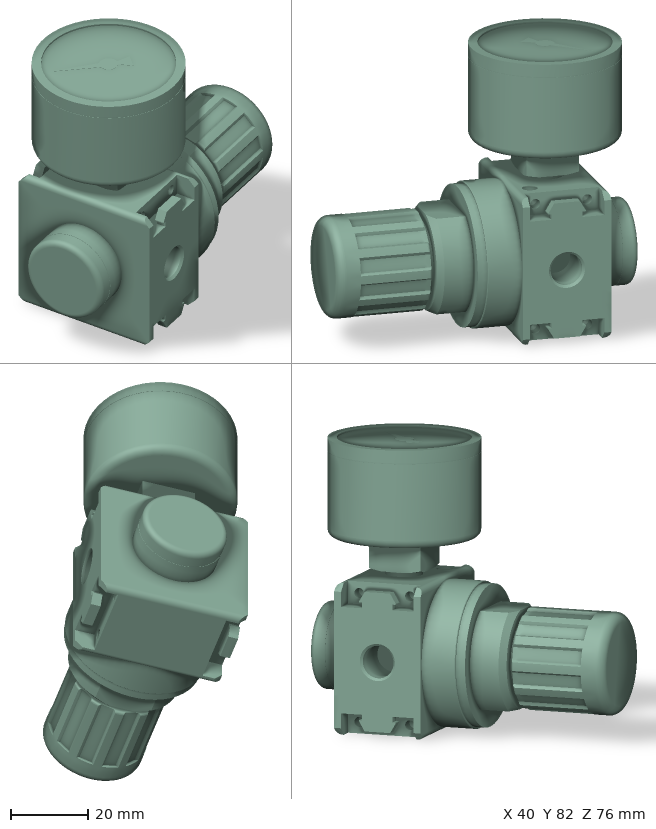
import cadquery as cq
import math


BLOCK_WIDTH = 40.0
BLOCK_DEPTH = 23.95
BLOCK_FILLET = 1.55
BLOCK_CHAMFER = 2.05
BLOCK_TOP = BLOCK_WIDTH / 2
BLOCK_BACK = BLOCK_DEPTH / 2
PORT_DIAMETER = 8.5
PORT_MOUTH_DIAMETER = 9.75
PORT_DEPTH = 11.5
RECESS_DIAMETER = 4.1
RECESS_DEPTH = 0.3
RECESS_X = -10.4
RECESS_Y = 7.2

NOTCH_WIDTH = 20.1
NOTCH_DEPTH = 5.3
NOTCH_FLOOR_Z = 14.0
TONGUE_THICKNESS = 2.6
TONGUE_NECK_WIDTH = 8.4
TONGUE_LIP_WIDTH = 10.2
TONGUE_TOP_WIDTH = 7.05
TONGUE_LIP_Z = 15.5
TONGUE_SLOPE_Z = 15.75
TONGUE_TOP_Z = 18.4
DRILL_DIAMETER = 2.6
DRILL_DEPTH = 3.3
DRILL_TIP_DIAMETER = 0.65
DRILL_TIP_ANGLE = 90
DRILL_SPACING_Y = 14.0
DRILL_Z = 17.0

COLLAR_DIAMETER = 38.5
COLLAR_END = 21.2
COLLAR_CHAMFER = 0.2
FLANGE_DIAMETER = 37.5
FLANGE_END = 23.8
BONNET_DIAMETER = 30.1
BONNET_FLATS = 26.0
BONNET_CHAMFER = 1.6
BONNET_END = 33.3
NECK_DIAMETER = 21.0
KNOB_DIAMETER = 27.0
KNOB_START = 34.5
KNOB_END = 60.0
KNOB_TOP_FILLET = 2.4
KNOB_RIM_FILLET = 0.65
CAP_DIAMETER = 23
CAP_FACE_DIAMETER = 20.0
OVERALL_LENGTH = 82
CAP_END = KNOB_END - OVERALL_LENGTH
CAP_GROOVE_Y = -17.7

GRIP_COUNT = 12
GRIP_END = 53.8
GRIP_FLOOR_RADIUS = 12.6
GRIP_FLOOR_WIDTH = 3.4
GRIP_MOUTH_WIDTH = 4.75
GRIP_CUT_OVERRUN = 0.8

SEAM_WIDTH = 0.25
SEAM_DEPTH = 0.1

GAUGE_DIAMETER = 39.9
GAUGE_BOTTOM = 30.0
GAUGE_TOP = 56.0
GAUGE_FILLET = 2.1
GAUGE_RIM_HEIGHT = 3.4
DIAL_DIAMETER = 35.0
DIAL_DEPTH = 0.5
STEM_DIAMETER = 9.75
SQUARE_SIZE = 14.2
WASHER_BOTTOM = 21.4
SQUARE_BOTTOM = 21.6
SQUARE_FACE_DIAMETER = 16.0
SQUARE_BEVEL_ANGLE = 18
WASHER_DIAMETER = 13.4

NEEDLE_HEIGHT = 0.1
NEEDLE_HUB_DIAMETER = 5.0
NEEDLE_LENGTH = 15.2
NEEDLE_ROOT_WIDTH = 1.9
NEEDLE_TAIL_LENGTH = 6.1
NEEDLE_TAIL_WIDTH = 4.3
NEEDLE_NECK_WIDTH = 1.4
NEEDLE_ANGLE = 225


def disc_along_y(diameter, start, end):
    """Cylinder on the Y axis from one Y to a larger one."""
    return cq.Workplane("XZ", origin=(0, start, 0)).circle(diameter / 2).extrude(start - end)


def disc_along_z(diameter, bottom, top):
    """Cylinder on the Z axis from one Z to a larger one."""
    return cq.Workplane("XY", origin=(0, 0, bottom)).circle(diameter / 2).extrude(top - bottom)


def four_corners(feature):
    """The feature of the -X, +Z corner and its copies at the other three X corners."""
    left_pair = feature.union(feature.mirror("XY"))
    return left_pair.union(left_pair.mirror("YZ"))


def block():
    """Square block with rounded edges along X and chamfered edges along Y."""
    rounded = cq.Workplane("XY").box(BLOCK_WIDTH, BLOCK_DEPTH, BLOCK_WIDTH).edges("|X").fillet(BLOCK_FILLET)
    envelope = cq.Workplane("XY").box(BLOCK_WIDTH, BLOCK_DEPTH, BLOCK_WIDTH).edges("|Y").chamfer(BLOCK_CHAMFER)
    return rounded.intersect(envelope)


def port():
    """Blind port in the -X side with a countersunk mouth."""
    mouth_bevel = (PORT_MOUTH_DIAMETER - PORT_DIAMETER) / 2
    side = cq.Workplane("YZ", origin=(-BLOCK_WIDTH / 2, 0, 0))
    bore = side.circle(PORT_DIAMETER / 2).extrude(PORT_DEPTH)
    mouth = side.circle(PORT_MOUTH_DIAMETER / 2).extrude(mouth_bevel, taper=45)
    return bore.union(mouth)


def notch_pocket():
    """Pocket of one clip notch, open to the side and the top."""
    height = BLOCK_TOP - NOTCH_FLOOR_Z
    pocket = cq.Workplane("XY").box(NOTCH_DEPTH, NOTCH_WIDTH, height, centered=(False, True, False))
    return pocket.translate((-BLOCK_WIDTH / 2, 0, NOTCH_FLOOR_Z))


def notch_tongue():
    """T-shaped tongue standing in one clip notch, flush with the side of the block."""
    right_half = [
        (TONGUE_NECK_WIDTH / 2, NOTCH_FLOOR_Z),
        (TONGUE_NECK_WIDTH / 2, TONGUE_LIP_Z),
        (TONGUE_LIP_WIDTH / 2, TONGUE_LIP_Z),
        (TONGUE_LIP_WIDTH / 2, TONGUE_SLOPE_Z),
        (TONGUE_TOP_WIDTH / 2, TONGUE_TOP_Z),
    ]
    left_half = [(-y, z) for y, z in reversed(right_half)]
    return (
        cq.Workplane("YZ", origin=(-BLOCK_WIDTH / 2, 0, 0))
        .polyline(right_half + left_half)
        .close()
        .extrude(TONGUE_THICKNESS)
    )


def notch_drillings():
    """Pair of drilled holes with blunt cone tips in the back wall of one notch."""
    radius = DRILL_DIAMETER / 2
    tip_radius = DRILL_TIP_DIAMETER / 2
    tip_length = (radius - tip_radius) / math.tan(math.radians(DRILL_TIP_ANGLE / 2))
    profile = [
        (0, 0),
        (0, radius),
        (DRILL_DEPTH, radius),
        (DRILL_DEPTH + tip_length, tip_radius),
        (DRILL_DEPTH + tip_length, 0),
    ]
    hole = cq.Workplane("XY").polyline(profile).close().revolve(360, (0, 0, 0), (1, 0, 0))
    wall_x = NOTCH_DEPTH - BLOCK_WIDTH / 2
    back_hole = hole.translate((wall_x, DRILL_SPACING_Y / 2, DRILL_Z))
    front_hole = hole.translate((wall_x, -DRILL_SPACING_Y / 2, DRILL_Z))
    return back_hole.union(front_hole)


def top_recess():
    """Shallow round recess in the top of the block, near its back left corner."""
    recess = disc_along_z(RECESS_DIAMETER, BLOCK_TOP - RECESS_DEPTH, BLOCK_TOP)
    return recess.translate((RECESS_X, RECESS_Y, 0))


def collar():
    """Round collar behind the block, its back edge slightly chamfered."""
    return disc_along_y(COLLAR_DIAMETER, 0, COLLAR_END).faces(">Y").edges().chamfer(COLLAR_CHAMFER)


def bonnet():
    """Chamfered round bonnet with a wrench flat above and below."""
    turned = disc_along_y(BONNET_DIAMETER, FLANGE_END, BONNET_END).faces(">Y").edges().chamfer(BONNET_CHAMFER)
    flats = cq.Workplane("XY").box(BONNET_DIAMETER, 2 * BONNET_END, BONNET_FLATS)
    return turned.intersect(flats)


def grip_groove():
    """One grip groove at the +X side of the knob, open toward the bonnet."""
    mouth_radius = math.sqrt((KNOB_DIAMETER / 2) ** 2 - (GRIP_MOUTH_WIDTH / 2) ** 2)
    wall_slope = (GRIP_MOUTH_WIDTH - GRIP_FLOOR_WIDTH) / 2 / (mouth_radius - GRIP_FLOOR_RADIUS)
    outer_radius = KNOB_DIAMETER / 2 + GRIP_CUT_OVERRUN
    outer_half = GRIP_FLOOR_WIDTH / 2 + wall_slope * (outer_radius - GRIP_FLOOR_RADIUS)
    section = [
        (GRIP_FLOOR_RADIUS, -GRIP_FLOOR_WIDTH / 2),
        (outer_radius, -outer_half),
        (outer_radius, outer_half),
        (GRIP_FLOOR_RADIUS, GRIP_FLOOR_WIDTH / 2),
    ]
    start_plane = cq.Workplane("XZ", origin=(0, KNOB_START, 0))
    return start_plane.polyline(section).close().extrude(KNOB_START - GRIP_END)


def knob():
    """Round knob with rounded ends and evenly spaced grip grooves."""
    body = disc_along_y(KNOB_DIAMETER, KNOB_START, KNOB_END)
    body = body.faces(">Y").edges().fillet(KNOB_TOP_FILLET)
    body = body.faces("<Y").edges().fillet(KNOB_RIM_FILLET)
    pitch = 360 / GRIP_COUNT
    for index in range(GRIP_COUNT):
        body = body.cut(grip_groove().rotate((0, 0, 0), (0, 1, 0), (index + 0.5) * pitch))
    return body


def cap():
    """Round end cap in front of the block, with a rounded face and a parting groove."""
    body = disc_along_y(CAP_DIAMETER, CAP_END, -BLOCK_BACK)
    body = body.faces("<Y").edges().fillet((CAP_DIAMETER - CAP_FACE_DIAMETER) / 2)
    seam_end = CAP_GROOVE_Y + SEAM_WIDTH
    seam = disc_along_y(CAP_DIAMETER, CAP_GROOVE_Y, seam_end)
    return body.cut(seam.cut(disc_along_y(CAP_DIAMETER - 2 * SEAM_DEPTH, CAP_GROOVE_Y, seam_end)))


def make_regulator():
    """Block, collar, flange, bonnet, neck, knob and cap as one solid."""
    body = block()
    body = body.union(collar())
    body = body.union(disc_along_y(FLANGE_DIAMETER, COLLAR_END, FLANGE_END))
    body = body.union(bonnet())
    body = body.union(disc_along_y(NECK_DIAMETER, BONNET_END, KNOB_START))
    body = body.union(knob())
    body = body.union(cap())
    body = body.cut(port().union(port().mirror("YZ")))
    body = body.cut(four_corners(notch_pocket()))
    body = body.union(four_corners(notch_tongue()))
    body = body.cut(four_corners(notch_drillings()))
    return body.cut(top_recess())


def gauge_square():
    """Square wrench section, its bottom corners turned off by a flat cone."""
    height = GAUGE_BOTTOM - SQUARE_BOTTOM
    square = cq.Workplane("XY", origin=(0, 0, SQUARE_BOTTOM)).rect(SQUARE_SIZE, SQUARE_SIZE).extrude(height)
    face_radius = SQUARE_FACE_DIAMETER / 2
    outer_radius = SQUARE_SIZE
    bevel_height = (outer_radius - face_radius) * math.tan(math.radians(SQUARE_BEVEL_ANGLE))
    profile = [
        (0, SQUARE_BOTTOM),
        (face_radius, SQUARE_BOTTOM),
        (outer_radius, SQUARE_BOTTOM + bevel_height),
        (outer_radius, GAUGE_BOTTOM),
        (0, GAUGE_BOTTOM),
    ]
    cone = cq.Workplane("XZ").polyline(profile).close().revolve(360, (0, 0, 0), (0, 1, 0))
    return square.intersect(cone)


def gauge_case():
    """Round case with a rounded bottom, a rim parting groove and a recessed dial."""
    case = disc_along_z(GAUGE_DIAMETER, GAUGE_BOTTOM, GAUGE_TOP).faces("<Z").edges().fillet(GAUGE_FILLET)
    seam_top = GAUGE_TOP - GAUGE_RIM_HEIGHT
    seam_bottom = seam_top - SEAM_WIDTH
    seam = disc_along_z(GAUGE_DIAMETER, seam_bottom, seam_top)
    seam = seam.cut(disc_along_z(GAUGE_DIAMETER - 2 * SEAM_DEPTH, seam_bottom, seam_top))
    return case.cut(seam).cut(disc_along_z(DIAL_DIAMETER, GAUGE_TOP - DIAL_DEPTH, GAUGE_TOP))


def needle():
    """Tapered needle with a round hub and a flared tail, slightly raised from the dial."""
    dial = cq.Workplane("XY", origin=(0, 0, GAUGE_TOP - DIAL_DEPTH))
    hub = dial.circle(NEEDLE_HUB_DIAMETER / 2).extrude(NEEDLE_HEIGHT)
    hub_radius = NEEDLE_HUB_DIAMETER / 2
    root_x = math.sqrt(hub_radius**2 - (NEEDLE_ROOT_WIDTH / 2) ** 2)
    neck_x = math.sqrt(hub_radius**2 - (NEEDLE_NECK_WIDTH / 2) ** 2)
    outline = [
        (NEEDLE_LENGTH, 0),
        (root_x, NEEDLE_ROOT_WIDTH / 2),
        (-neck_x, NEEDLE_NECK_WIDTH / 2),
        (-NEEDLE_TAIL_LENGTH, NEEDLE_TAIL_WIDTH / 2),
        (-NEEDLE_TAIL_LENGTH, -NEEDLE_TAIL_WIDTH / 2),
        (-neck_x, -NEEDLE_NECK_WIDTH / 2),
        (root_x, -NEEDLE_ROOT_WIDTH / 2),
    ]
    pointer = dial.polyline(outline).close().extrude(NEEDLE_HEIGHT)
    return hub.union(pointer).rotate((0, 0, 0), (0, 0, 1), NEEDLE_ANGLE)


def make_gauge():
    """Gauge case, needle, square, washer face and stem as one solid standing on the block."""
    stem = disc_along_z(STEM_DIAMETER, BLOCK_TOP, WASHER_BOTTOM)
    washer = disc_along_z(WASHER_DIAMETER, WASHER_BOTTOM, SQUARE_BOTTOM)
    return gauge_case().union(gauge_square()).union(washer).union(stem).union(needle())


regulator = make_regulator()
gauge = make_gauge()

result = cq.Compound.makeCompound([regulator.val(), gauge.val()])